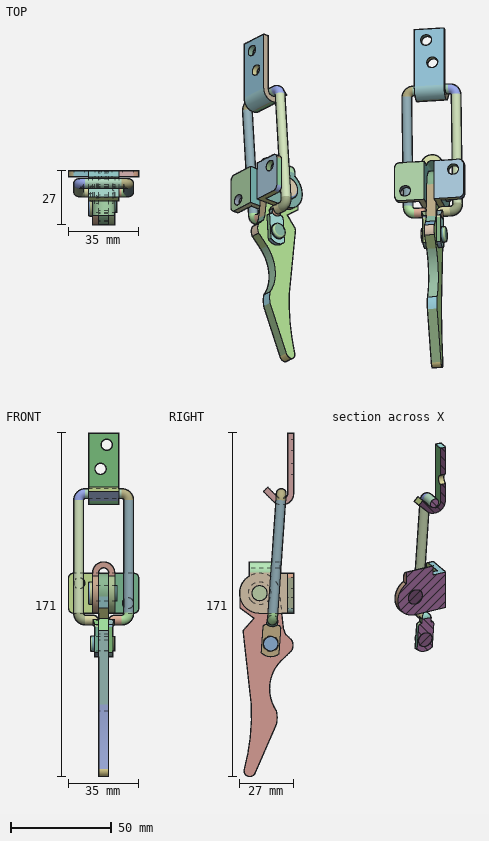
import cadquery as cq
import math


sheet = 3.0
overall_depth = 27.0
handle_thickness = 5.0
half_handle = handle_thickness / 2

base_width = 35.0
base_height = 20.0
wing_corner_radius = 2.5
wall_radius = base_height / 2
pivot_depth = overall_depth - wall_radius
base_outer_half = half_handle + sheet
arch_centre_height = 10.1
arch_back_depth = 6.8
arch_front_depth = 22.2
mount_hole_diameter = 5.5
base_hole_x = 12.1
base_hole_z = 5.0

head_thickness = 2.0
head_fillet = 0.9
pin_end_length = 1.0
pivot_pin_radius = 3.8
pivot_head_radius = 5.6
bail_pin_radius = 3.6
bail_head_radius = 4.0
bail_pin_depth = 11.5
bail_pin_z = -25.1

wire_diameter = 5.0
wire_radius = wire_diameter / 2

strike_width = 15.0
strike_top = 79.7
strike_hole_x = 1.5
strike_hole_drops = (5.8, 17.8)
hook_bend_radius = wire_radius + sheet / 2
hook_centre_z = 49.6
hook_flat = 0.7
hook_angle = math.radians(45)
hook_lip_length = 7.0

seat_depth = sheet + wire_radius + hook_flat
bail_rise = hook_centre_z - bail_pin_z
bail_length = math.hypot(bail_pin_depth - seat_depth, bail_rise)
bail_tilt = math.degrees(math.atan2(bail_pin_depth - seat_depth, bail_rise))
bail_half_width = 12.5
bail_bend_radius = 3.5
bail_foot_height = 11.8
tab_thickness = 2.0
tab_width = 8.9
tab_top = 9.4
tab_end_radius = 6.5
tab_corner_radius = 1.5
neck_width = 5.5
flare_height = 0.9
foot_bend_radius = 3.0
tab_outer_half = half_handle + tab_thickness

nose_depth = 26.8
tip_radius = 2.9
tip_depth = 21.9
handle_bottom = -91.3
tip_z = handle_bottom + tip_radius
tip_outer_angle = 15
tip_inner_angle = -155

nose_corner = (-nose_depth, -7.4)
notch = (-19.8, -12.5)
shoulder = (-25.3, -18.6)
grip_waist = (-21.2, -55.5)
grip_mid = (-21.7, -71.6)
lower_bump = [(-8.5, -65.2), (-8.2, -61.7), (-8.5, -58.7)]
hollow_mid = (-12.0, -46.9)
hollow_top = (-6.7, -34.0)
upper_bump = [(-1.0, -28.5), (-0.3, -26.0), (-1.0, -23.3)]
neck_points = [(-4.1, -20.3), (-5.1, -17.5)]


def cylinder_x(radius, x_start, x_end, depth, z):
    """Cylinder along X between two X positions."""
    return (
        cq.Workplane("YZ", origin=(x_start, 0, 0))
        .center(-depth, z)
        .circle(radius)
        .extrude(x_end - x_start)
    )


def box_between(x0, x1, depth0, depth1, z0, z1):
    """Box given by its limits in X, depth and Z."""
    return cq.Workplane("XY").box(x1 - x0, depth1 - depth0, z1 - z0, centered=False).translate(
        (x0, -depth1, z0)
    )


def pin(shaft_radius, head_radius, grip_half, depth, z):
    """Pin through a stack from -grip_half to +grip_half, with a rounded head at -X."""
    shaft = cylinder_x(shaft_radius, -grip_half, grip_half + pin_end_length, depth, z)
    head = cylinder_x(head_radius, -grip_half - head_thickness, -grip_half, depth, z)
    return shaft.union(head.faces("<X").edges().fillet(head_fillet))


def mounting_holes(centres):
    """Cutters along Y for screw holes through the mounting sheet."""
    return (
        cq.Workplane("XZ")
        .pushPoints(centres)
        .circle(mount_hole_diameter / 2)
        .extrude(sheet)
    )


def make_base():
    wings = (
        cq.Workplane("XZ")
        .rect(base_width, base_height)
        .extrude(sheet)
        .edges("|Y")
        .fillet(wing_corner_radius)
    )
    walls = box_between(
        -base_outer_half, base_outer_half, 0, pivot_depth, -wall_radius, wall_radius
    ).union(cylinder_x(wall_radius, -base_outer_half, base_outer_half, pivot_depth, 0))
    arch = box_between(
        -base_outer_half, base_outer_half, arch_back_depth, arch_front_depth, 0, arch_centre_height
    ).union(
        cq.Workplane("XZ", origin=(0, -arch_back_depth, 0))
        .center(0, arch_centre_height)
        .circle(base_outer_half)
        .extrude(arch_front_depth - arch_back_depth)
    )
    slot = box_between(
        -half_handle, half_handle, 0, overall_depth, -wall_radius, arch_centre_height
    ).union(
        cq.Workplane("XZ")
        .center(0, arch_centre_height)
        .circle(half_handle)
        .extrude(overall_depth)
    )
    pin_hole = cylinder_x(pivot_pin_radius, -base_outer_half, base_outer_half, pivot_depth, 0)
    screw_holes = mounting_holes([(-base_hole_x, base_hole_z), (base_hole_x, -base_hole_z)])
    return wings.union(walls).union(arch).cut(slot).cut(pin_hole).cut(screw_holes)


def tip_point(angle):
    """Point (Y, Z) on the round handle tip; 0 degrees is the outer side, -90 the bottom."""
    turn = math.radians(angle)
    return (-tip_depth - tip_radius * math.cos(turn), tip_z + tip_radius * math.sin(turn))


def make_handle():
    nose_top = -math.sqrt(wall_radius**2 - (nose_depth - pivot_depth) ** 2)
    profile = (
        cq.Workplane("YZ", origin=(-half_handle, 0, 0))
        .moveTo(-pivot_depth + wall_radius, 0)
        .threePointArc((-pivot_depth, wall_radius), (-nose_depth, nose_top))
        .lineTo(*nose_corner)
        .lineTo(*notch)
        .lineTo(*shoulder)
        .lineTo(*grip_waist)
        .threePointArc(grip_mid, tip_point(tip_outer_angle))
        .threePointArc(tip_point(-90), tip_point(tip_inner_angle))
        .lineTo(*lower_bump[0])
        .threePointArc(lower_bump[1], lower_bump[2])
        .threePointArc(hollow_mid, hollow_top)
        .lineTo(*upper_bump[0])
        .threePointArc(upper_bump[1], upper_bump[2])
        .lineTo(*neck_points[0])
        .lineTo(*neck_points[1])
        .close()
    )
    pivot_hole = cylinder_x(pivot_pin_radius, -half_handle, half_handle, pivot_depth, 0)
    bail_hole = cylinder_x(bail_pin_radius, -half_handle, half_handle, bail_pin_depth, bail_pin_z)
    return profile.extrude(handle_thickness).cut(pivot_hole).cut(bail_hole)


def bail_wire():
    """Round wire bent to a frame, open where the handle passes through its foot."""
    bend = bail_bend_radius
    inset = bail_half_width - bend
    diagonal = bend * math.sqrt(0.5)
    low, high = bail_foot_height, bail_length
    path = (
        cq.Workplane("XZ")
        .moveTo(-half_handle, low)
        .lineTo(-inset, low)
        .threePointArc((-inset - diagonal, low + bend - diagonal), (-bail_half_width, low + bend))
        .lineTo(-bail_half_width, high - bend)
        .threePointArc((-inset - diagonal, high - bend + diagonal), (-inset, high))
        .lineTo(inset, high)
        .threePointArc((inset + diagonal, high - bend + diagonal), (bail_half_width, high - bend))
        .lineTo(bail_half_width, low + bend)
        .threePointArc((inset + diagonal, low + bend - diagonal), (inset, low))
        .lineTo(half_handle, low)
    )
    return (
        cq.Workplane("YZ", origin=(-half_handle, 0, 0))
        .center(0, low)
        .circle(wire_radius)
        .sweep(path)
    )


def foot_flare():
    """Lower half of the cone by which the -X wire end widens onto the outer face of the tab."""
    cone = cq.Workplane(
        cq.Solid.makeCone(
            wire_radius,
            wire_radius + flare_height,
            flare_height,
            pnt=cq.Vector(-tab_outer_half - flare_height, 0, bail_foot_height),
            dir=cq.Vector(1, 0, 0),
        )
    )
    lower_half = box_between(
        -tab_outer_half - flare_height,
        -tab_outer_half,
        -neck_width / 2,
        neck_width / 2,
        bail_foot_height - wire_radius - flare_height,
        bail_foot_height,
    )
    return cone.intersect(lower_half)


def bail_tab():
    """Flat tab on the -X side of the handle, with the neck that joins it to the wire."""
    side_top = math.sqrt(tab_end_radius**2 - (tab_width / 2) ** 2)
    tab = (
        cq.Workplane("YZ", origin=(-tab_outer_half, 0, 0))
        .moveTo(-tab_width / 2, tab_top)
        .lineTo(-tab_width / 2, -side_top)
        .threePointArc((0, -tab_end_radius), (tab_width / 2, -side_top))
        .lineTo(tab_width / 2, tab_top)
        .close()
        .extrude(tab_thickness)
        .edges("|X and >Z")
        .fillet(tab_corner_radius)
    )
    neck = box_between(
        -tab_outer_half, -half_handle, -neck_width / 2, neck_width / 2, tab_top, bail_foot_height
    )
    return tab.union(neck).union(foot_flare())


def foot_rounding():
    """Cutter that rounds the top of the -X wire end where it turns down into the tab."""
    bend_x = -half_handle - foot_bend_radius
    top = bail_foot_height + wire_radius
    bend_z = top - foot_bend_radius
    corner = box_between(bend_x, -half_handle, -wire_radius, wire_radius, bend_z, top)
    bend = (
        cq.Workplane("XZ", origin=(0, wire_radius, 0))
        .center(bend_x, bend_z)
        .circle(foot_bend_radius)
        .extrude(wire_diameter)
    )
    return corner.cut(bend)


def make_bail():
    tab = bail_tab()
    rounding = foot_rounding()
    bail = bail_wire()
    bail = bail.union(tab).union(tab.mirror("YZ"))
    bail = bail.cut(rounding).cut(rounding.mirror("YZ"))
    bail = bail.cut(cylinder_x(bail_pin_radius, -tab_outer_half, tab_outer_half, 0, 0))
    return bail.rotate((0, 0, 0), (1, 0, 0), -bail_tilt).translate((0, -bail_pin_depth, bail_pin_z))


def make_strike():
    radius = hook_bend_radius
    bend_y = -sheet / 2 - radius
    second_y = bend_y - hook_flat
    diagonal = radius * math.sqrt(0.5)
    lip_start = (
        second_y - radius * math.sin(hook_angle),
        hook_centre_z - radius * math.cos(hook_angle),
    )
    half_turn = (
        second_y - radius * math.sin(hook_angle / 2),
        hook_centre_z - radius * math.cos(hook_angle / 2),
    )
    lip_end = (
        lip_start[0] - hook_lip_length * math.cos(hook_angle),
        lip_start[1] + hook_lip_length * math.sin(hook_angle),
    )
    middle_line = (
        cq.Workplane("YZ")
        .moveTo(-sheet / 2, strike_top)
        .lineTo(-sheet / 2, hook_centre_z)
        .threePointArc(
            (bend_y + diagonal, hook_centre_z - diagonal), (bend_y, hook_centre_z - radius)
        )
        .lineTo(second_y, hook_centre_z - radius)
        .threePointArc(half_turn, lip_start)
        .lineTo(*lip_end)
    )
    plate = (
        cq.Workplane("XY", origin=(0, -sheet / 2, strike_top))
        .rect(strike_width, sheet)
        .sweep(middle_line)
    )
    upper_drop, lower_drop = strike_hole_drops
    holes = [(strike_hole_x, strike_top - upper_drop), (-strike_hole_x, strike_top - lower_drop)]
    return plate.cut(mounting_holes(holes))


base = make_base()
handle = make_handle()
pivot_pin = pin(pivot_pin_radius, pivot_head_radius, base_outer_half, pivot_depth, 0)
bail = make_bail()
bail_pin = pin(bail_pin_radius, bail_head_radius, tab_outer_half, bail_pin_depth, bail_pin_z)
strike = make_strike()

result = cq.Compound.makeCompound(
    [base.val(), handle.val(), pivot_pin.val(), bail.val(), bail_pin.val(), strike.val()]
)